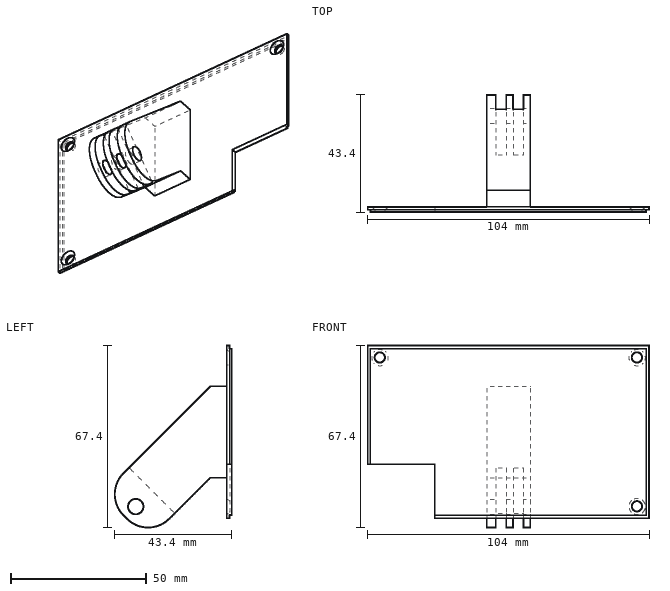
import cadquery as cq
import math

plate_length = 104.0
plate_height = 64.0
plate_thickness = 2.0
notch_length = 24.8
notch_height = 20.0

step_depth = 0.8
side_step = 1.0
end_step = 1.2

mount_hole_diameter = 3.7
mount_hole_inset = 4.5
countersink_diameter = 6.0

arm_left = 44.0
arm_reach = 43.4
arm_drop = 3.4
arm_half_width = 12.0
corner_radius = 11.0
root_length = 6.0
pivot_hole_diameter = 5.6
pivot_hole_offset = 5.5

tongue_widths = (3.4, 2.6, 2.6)
slot_width = 3.7
slot_depth = 13.9

slope = math.sin(math.radians(45))
arm_width = sum(tongue_widths) + slot_width * (len(tongue_widths) - 1)

corner_offset = (arm_half_width - corner_radius) * slope
end_y = arm_reach - corner_radius - corner_offset
end_z = corner_radius - arm_drop + corner_offset


def box(x, y, z, length, depth, height):
    """Box with its lowest corner at (x, y, z)."""
    return cq.Workplane("XY").box(length, depth, height, centered=False).translate((x, y, z))


def x_prism_plane(x):
    """Sketch plane facing +X, whose local axes are Y and Z."""
    return cq.Workplane("YZ", origin=(x, 0, 0))


def make_plate():
    back = box(0, step_depth, 0, plate_length, plate_thickness - step_depth, plate_height)
    front = box(
        side_step, 0, end_step,
        plate_length - 2 * side_step, step_depth, plate_height - 2 * end_step,
    )
    notch = box(0, 0, 0, notch_length, plate_thickness, notch_height)
    return back.union(front).cut(notch)


def make_mount_holes():
    right = plate_length - mount_hole_inset
    top = plate_height - mount_hole_inset
    centres = [(mount_hole_inset, top), (right, top), (right, mount_hole_inset)]
    holes = (
        cq.Workplane("XZ").pushPoints(centres)
        .circle(mount_hole_diameter / 2).extrude(-plate_thickness)
    )
    for x, z in centres:
        countersink = cq.Solid.makeCone(
            mount_hole_diameter / 2, countersink_diameter / 2, plate_thickness - step_depth,
            pnt=cq.Vector(x, step_depth, z), dir=cq.Vector(0, 1, 0),
        )
        holes = holes.union(cq.Workplane(countersink))
    return holes


def make_arm():
    knee_y = plate_thickness + root_length
    axis_z = end_z + end_y - knee_y
    root_half_height = arm_half_width / slope
    top_z = axis_z + root_half_height
    bottom_z = axis_z - root_half_height
    upper_y, upper_z = end_y + corner_offset, end_z + corner_offset
    lower_y, lower_z = end_y - corner_offset, end_z - corner_offset
    tangent = corner_radius * slope
    return (
        x_prism_plane(arm_left)
        .moveTo(plate_thickness, bottom_z)
        .lineTo(plate_thickness, top_z)
        .lineTo(knee_y, top_z)
        .lineTo(upper_y + tangent, upper_z + tangent)
        .threePointArc((upper_y + corner_radius, upper_z), (upper_y + tangent, upper_z - tangent))
        .lineTo(lower_y + tangent, lower_z - tangent)
        .threePointArc((lower_y, lower_z - corner_radius), (lower_y - tangent, lower_z - tangent))
        .lineTo(knee_y, bottom_z)
        .close()
        .extrude(arm_width)
    )


def make_slot(x):
    """Slot across the whole bar, its floor square to the slope."""
    cutter = box(
        x, corner_radius - slot_depth, -arm_half_width,
        slot_width, slot_depth, 2 * arm_half_width,
    )
    return cutter.rotate((0, 0, 0), (1, 0, 0), -45).translate((0, end_y, end_z))


def make_pivot_hole():
    shift = pivot_hole_offset * slope
    return (
        x_prism_plane(arm_left).center(end_y + shift, end_z - shift)
        .circle(pivot_hole_diameter / 2).extrude(arm_width)
    )


arm = make_arm().cut(make_pivot_hole())
slot_x = arm_left
for tongue_width in tongue_widths[:-1]:
    slot_x += tongue_width
    arm = arm.cut(make_slot(slot_x))
    slot_x += slot_width

result = make_plate().cut(make_mount_holes()).union(arm)